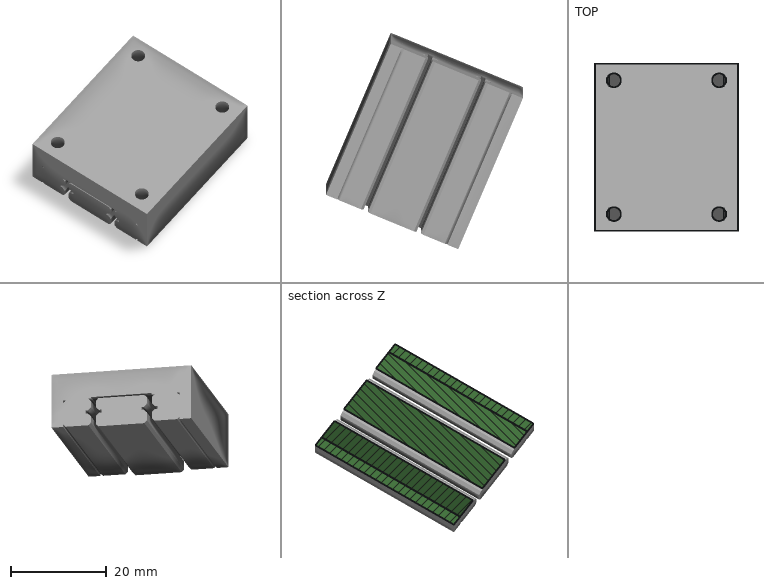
import cadquery as cq

length = 35.0
table_width = 30.0
total_height = 12.0

ground_gap = 0.4
leg_width = 2.5
roof_thickness = 5.8
relief_width = 13.0
relief_depth = 0.3
hole_diameter = 2.9
hole_spacing_x = 22.0
hole_spacing_y = 28.0

side_rail_width = 6.0
centre_rail_width = 11.0
corner_chamfer = 0.55
groove_half_opening = 0.98
slot_half_height = 0.3
slot_depth = 1.2

rail_top = total_height - roof_thickness
channel_width = table_width - 2 * leg_width
side_rail_height = rail_top - ground_gap
side_rail_x = (channel_width - side_rail_width) / 2
groove_z = ground_gap + side_rail_height / 2


def block(width, height, x, bottom):
    """Full-length block centred on x and Y = 0."""
    return cq.Workplane("XY").box(width, length, height, centered=(True, True, False)).translate((x, 0, bottom))


def raceway(face_x, inward):
    """V groove with a relief slot, cut into a side face; inward is the X sign into the rail."""
    v_bottom_x = face_x + inward * (groove_half_opening - slot_half_height)
    slot_bottom_x = face_x + inward * slot_depth
    return (
        cq.Workplane("XZ", origin=(0, length / 2, 0))
        .moveTo(face_x, groove_z - groove_half_opening)
        .lineTo(v_bottom_x, groove_z - slot_half_height)
        .lineTo(slot_bottom_x, groove_z - slot_half_height)
        .lineTo(slot_bottom_x, groove_z + slot_half_height)
        .lineTo(v_bottom_x, groove_z + slot_half_height)
        .lineTo(face_x, groove_z + groove_half_opening)
        .close()
        .extrude(length)
    )


def make_table():
    """Channel-shaped carriage with a clearance relief and four mounting holes."""
    table = block(table_width, total_height - ground_gap, 0, ground_gap)
    channel = block(channel_width, side_rail_height, 0, ground_gap)
    relief = block(relief_width, relief_depth, 0, rail_top)
    holes = (
        cq.Workplane("XY", origin=(0, 0, rail_top))
        .rarray(hole_spacing_x, hole_spacing_y, 2, 2)
        .circle(hole_diameter / 2)
        .extrude(roof_thickness)
    )
    return table.cut(channel).cut(relief).cut(holes)


def make_side_rail(side):
    """Rail against one leg of the table (side is -1 or 1), with its raceway facing the centre."""
    rail = block(side_rail_width, side_rail_height, side * side_rail_x, ground_gap)
    rail = rail.edges("|Y").chamfer(corner_chamfer)
    inner_face_x = side * (side_rail_x - side_rail_width / 2)
    return rail.cut(raceway(inner_face_x, side))


def make_centre_rail():
    """Central rail with a raceway on each side."""
    rail = block(centre_rail_width, rail_top, 0, 0).edges("|Y").chamfer(corner_chamfer)
    for side in (-1, 1):
        rail = rail.cut(raceway(side * centre_rail_width / 2, -side))
    return rail


table = make_table()
centre_rail = make_centre_rail()
side_rails = [make_side_rail(side) for side in (-1, 1)]

result = cq.Compound.makeCompound(
    [table.val(), centre_rail.val(), *[rail.val() for rail in side_rails]]
)